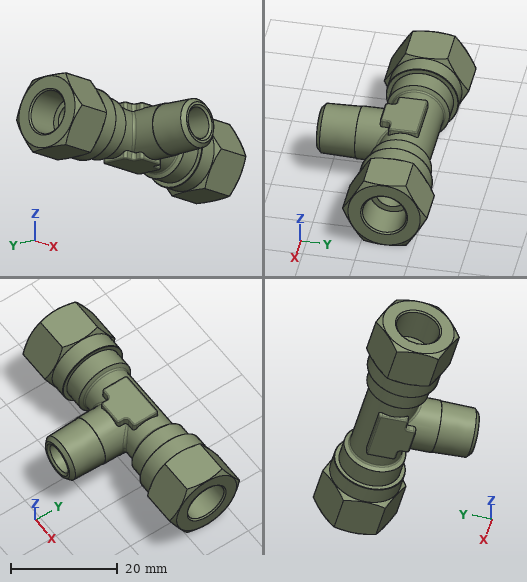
import cadquery as cq
import math

half_length = 24.32
nut_inner_x = 15.85
collar_inner_x = 12.4
sleeve_inner_x = 8.55
shoulder_inner_x = 8.05

nut_across_flats = 14.0
nut_sides = 6
nut_corner_radius = nut_across_flats / 2 / math.cos(math.pi / nut_sides)
nut_face_radius = 6.9
nut_chamfer_angle = 30.0

collar_radius = 6.9
collar_chamfer = 0.1
sleeve_radius = 6.0
pipe_radius = 5.0
shoulder_fillet = 0.4

bore_radius = 3.0
socket_radius = 4.2
socket_depth = 6.8
socket_chamfer = 0.3

depth_nut_corner_to_branch_end = 25.1
branch_length = depth_nut_corner_to_branch_end - nut_corner_radius
branch_radius = pipe_radius
thread_start = 9.5
thread_start_radius = 4.9
thread_end_radius = 4.7
thread_chamfer = 0.8
branch_bore_depth = 11.7
branch_bore_chamfer = 0.45
drill_tip_angle = 138.0
crotch_fillet = 0.5

pad_root_height = 3.9
pad_top_height = 5.55
pad_draft_angle = 4.0
pad_half_width = 5.25
pad_back = 2.7
pad_shoulder = -3.1
pad_front = -5.15
pad_neck_half_width = 2.85
pad_corner_fillet = 0.6
pad_edge_fillet = 0.25


def revolve_about_x(points):
    return cq.Workplane("XY").polyline(points).close().revolve(360, (0, 0), (1, 0))


def revolve_about_y(points):
    return cq.Workplane("XY").polyline(points).close().revolve(360, (0, 0), (0, 1))


def at_x(position):
    """Select what is centred in a thin slice across the run at this X."""
    tolerance = 0.005
    return cq.selectors.BoxSelector(
        (position - tolerance, -nut_corner_radius, -nut_corner_radius),
        (position + tolerance, nut_corner_radius, nut_corner_radius),
    )


def make_nut():
    """Hexagon with conically chamfered corners at both ends."""
    hexagon = (
        cq.Workplane("YZ")
        .workplane(offset=nut_inner_x)
        .polygon(nut_sides, 2 * nut_corner_radius)
        .extrude(half_length - nut_inner_x)
    )
    chamfer_rise = nut_corner_radius - nut_face_radius
    chamfer_run = chamfer_rise * math.tan(math.radians(nut_chamfer_angle))
    envelope = revolve_about_x([
        (nut_inner_x, 0),
        (nut_inner_x, nut_face_radius),
        (nut_inner_x + chamfer_run, nut_corner_radius),
        (half_length - chamfer_run, nut_corner_radius),
        (half_length, nut_face_radius),
        (half_length, 0),
    ])
    return hexagon.intersect(envelope)


def make_run_half():
    """Pipe, stepped sleeve and collar on the +X side."""
    turned = revolve_about_x([
        (0, 0),
        (0, pipe_radius),
        (shoulder_inner_x, pipe_radius),
        (sleeve_inner_x, sleeve_radius),
        (collar_inner_x, sleeve_radius),
        (collar_inner_x, collar_radius - collar_chamfer),
        (collar_inner_x + collar_chamfer, collar_radius),
        (nut_inner_x, collar_radius),
        (nut_inner_x, 0),
    ])
    return turned.edges(at_x(shoulder_inner_x)).fillet(shoulder_fillet)


def make_branch():
    """Plain shank followed by a tapered thread blank."""
    return revolve_about_y([
        (0, 0),
        (branch_radius, 0),
        (branch_radius, -thread_start),
        (thread_start_radius, -thread_start),
        (thread_end_radius, thread_chamfer - branch_length),
        (thread_end_radius - thread_chamfer, -branch_length),
        (0, -branch_length),
    ])


def make_pad():
    """Drafted T-shaped pad on the top, rooted just inside the body."""
    outline = [
        (-pad_half_width, pad_back),
        (pad_half_width, pad_back),
        (pad_half_width, pad_shoulder),
        (pad_neck_half_width, pad_shoulder),
        (pad_neck_half_width, pad_front),
        (-pad_neck_half_width, pad_front),
        (-pad_neck_half_width, pad_shoulder),
        (-pad_half_width, pad_shoulder),
        (-pad_half_width, pad_back),
    ]
    footprint = cq.Sketch().polygon(outline).vertices().fillet(pad_corner_fillet)
    block = (
        cq.Workplane("XY")
        .workplane(offset=pad_root_height)
        .placeSketch(footprint)
        .extrude(pad_top_height - pad_root_height, taper=pad_draft_angle)
    )
    return block.faces(">Z").edges().fillet(pad_edge_fillet)


def make_run_bore():
    """Through bore with a chamfered tube socket at each end."""
    socket_bottom = half_length - socket_depth
    mouth_radius = socket_radius + socket_chamfer
    mouth = [
        (socket_bottom, bore_radius),
        (socket_bottom, socket_radius),
        (half_length - socket_chamfer, socket_radius),
        (half_length, mouth_radius),
    ]
    mirrored_mouth = [(-x, radius) for x, radius in reversed(mouth)]
    return revolve_about_x([(-half_length, 0)] + mirrored_mouth + mouth + [(half_length, 0)])


def make_branch_bore():
    """Blind drilled hole with a chamfered mouth."""
    bottom = branch_bore_depth - branch_length
    tip_length = bore_radius / math.tan(math.radians(drill_tip_angle / 2))
    return revolve_about_y([
        (0, -branch_length),
        (bore_radius + branch_bore_chamfer, -branch_length),
        (bore_radius, branch_bore_chamfer - branch_length),
        (bore_radius, bottom),
        (0, bottom + tip_length),
    ])


run_half = make_run_half().union(make_nut())
tee = run_half.union(run_half.mirror("YZ")).union(make_branch())
pad = make_pad()
body = tee.union(pad).union(pad.mirror("XY"))

between_pads = cq.selectors.BoxSelector(
    (-half_length, -branch_length, -pad_root_height),
    (half_length, branch_length, pad_root_height),
)
body = body.edges("%ELLIPSE").edges(between_pads).fillet(crotch_fillet)

result = body.cut(make_run_bore()).cut(make_branch_bore())